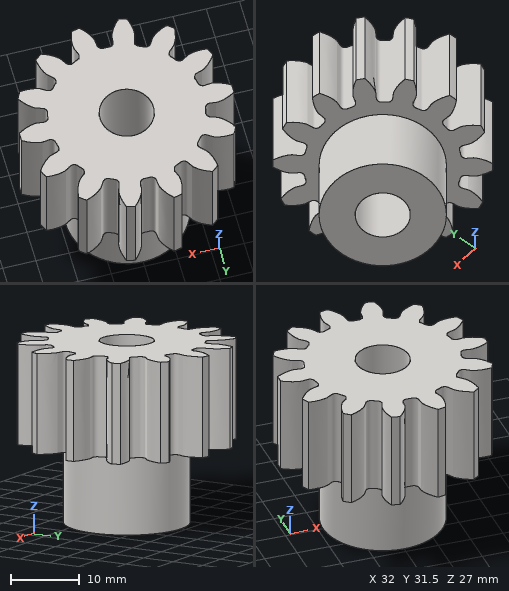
import cadquery as cq
import math

TOOTH_COUNT = 14
MODULE = 2.0
PRESSURE_ANGLE = math.radians(20)
GEAR_HEIGHT = 15.0
ROOT_FILLET = 0.38 * MODULE
DEDENDUM = 1.25 * MODULE
FLANK_STEPS = 6

HUB_DIAMETER = 18.5
HUB_HEIGHT = 12.0
BORE_DIAMETER = 8.0

PITCH_RADIUS = MODULE * TOOTH_COUNT / 2
BASE_RADIUS = PITCH_RADIUS * math.cos(PRESSURE_ANGLE)
TIP_RADIUS = PITCH_RADIUS + MODULE
ROOT_RADIUS = PITCH_RADIUS - DEDENDUM
TOOTH_PITCH = 2 * math.pi / TOOTH_COUNT


def polar(radius, angle):
    return (radius * math.cos(angle), radius * math.sin(angle))


def involute_angle(radius):
    """Polar angle swept by the involute from the base circle out to a radius."""
    contact_angle = math.acos(BASE_RADIUS / radius)
    return math.tan(contact_angle) - contact_angle


def half_tooth_angle(radius):
    """Half the angle a tooth spans at a radius on or outside the base circle."""
    return TOOTH_PITCH / 4 + involute_angle(PITCH_RADIUS) - involute_angle(radius)


BASE_HALF_ANGLE = half_tooth_angle(BASE_RADIUS)


def add_tooth(outline, center):
    """Extend the outline over one tooth and along the root land after it."""
    radius_step = (TIP_RADIUS - BASE_RADIUS) / FLANK_STEPS
    radii = [BASE_RADIUS + radius_step * i for i in range(FLANK_STEPS)] + [TIP_RADIUS]
    rising_flank = [polar(r, center - half_tooth_angle(r)) for r in radii]
    falling_flank = [polar(r, center + half_tooth_angle(r)) for r in reversed(radii)]

    tip_roll = math.tan(math.acos(BASE_RADIUS / TIP_RADIUS))
    rising_start = polar(1, center - BASE_HALF_ANGLE)
    rising_end = polar(1, center - BASE_HALF_ANGLE + tip_roll)
    falling_start = polar(-1, center + BASE_HALF_ANGLE - tip_roll)
    falling_end = polar(-1, center + BASE_HALF_ANGLE)

    outline = outline.lineTo(*rising_flank[0])
    outline = outline.spline(rising_flank[1:], tangents=[rising_start, rising_end], includeCurrent=True)
    outline = outline.threePointArc(polar(TIP_RADIUS, center), falling_flank[0])
    outline = outline.spline(falling_flank[1:], tangents=[falling_start, falling_end], includeCurrent=True)
    outline = outline.lineTo(*polar(ROOT_RADIUS, center + BASE_HALF_ANGLE))

    root_middle = polar(ROOT_RADIUS, center + TOOTH_PITCH / 2)
    next_tooth_root = polar(ROOT_RADIUS, center + TOOTH_PITCH - BASE_HALF_ANGLE)
    return outline.threePointArc(root_middle, next_tooth_root)


def make_rim():
    outline = cq.Workplane("XY").moveTo(*polar(ROOT_RADIUS, -BASE_HALF_ANGLE))
    for tooth in range(TOOTH_COUNT):
        outline = add_tooth(outline, tooth * TOOTH_PITCH)
    rim = outline.close().extrude(GEAR_HEIGHT)

    corner_limit = (ROOT_RADIUS + BASE_RADIUS) / 2
    corners = rim.edges("|Z").filter(
        lambda edge: math.hypot(edge.Center().x, edge.Center().y) < corner_limit
    )
    return corners.fillet(ROOT_FILLET)


def make_hub():
    return cq.Workplane("XY").circle(HUB_DIAMETER / 2).extrude(-HUB_HEIGHT)


def make_bore():
    return (
        cq.Workplane("XY", origin=(0, 0, -HUB_HEIGHT))
        .circle(BORE_DIAMETER / 2)
        .extrude(HUB_HEIGHT + GEAR_HEIGHT)
    )


result = make_rim().union(make_hub()).cut(make_bore())